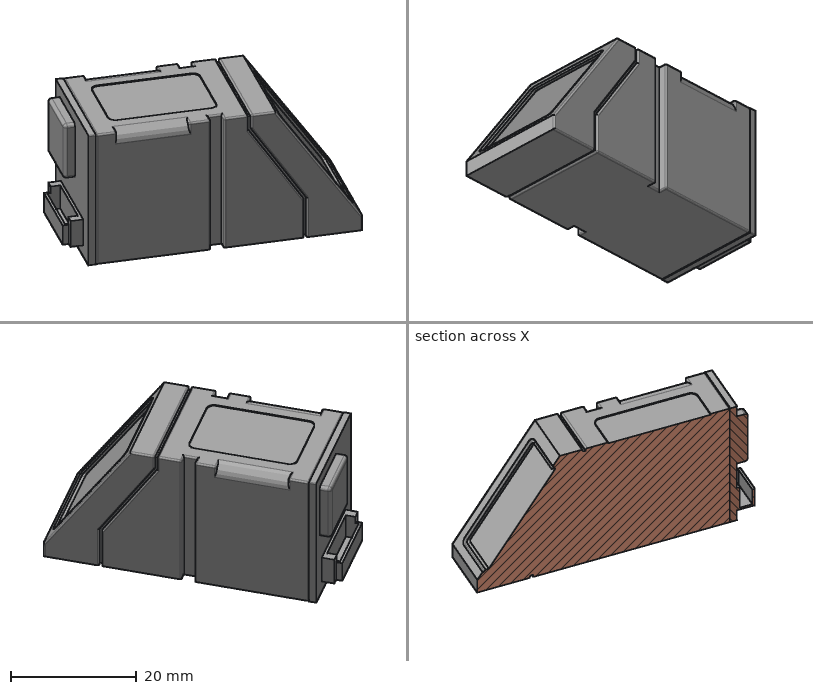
import cadquery as cq
import math

width = 20.0
height = 23.5
length = 44.05
half_width = width / 2
edge_radius = 0.3

tolerance = 0.005

nose_height = 2.7
slope_top_y = 29.7
slope_rise = height - nose_height
slope_run = length - slope_top_y
slope_angle = math.atan2(slope_rise, slope_run)

groove_width = 0.45
groove_depth = 0.45
groove_top_y = 25.2
groove_bottom_y = 34.4
groove_low_bend_z = 7.05
groove_high_bend_z = 20.85
groove_angle = math.atan2(groove_high_bend_z - groove_low_bend_z, groove_bottom_y - groove_top_y)
bend_shift = groove_width * math.tan((math.pi / 2 - groove_angle) / 2)

window_width = 16.4
window_length = 21.5
window_offset = 0.3
window_depth = 0.25
window_corner_radius = 0.95
window_floor_radius = 0.2
ledge_width = 0.6
sensor_corner_radius = 0.5
sensor_depth = 0.6

slot_start_y = 18.95
slot_end_y = 21.15
slot_depth = 1.45
grip_start_y = 3.5
grip_end_y = 15.38
grip_radius = 2.1
label_width = 12.25
label_start_y = 3.45
label_end_y = 21.25
label_depth = 0.2
label_corner_radius = 1.2

board_thickness = 1.2
board_edge_radius = 0.15
button_size = 9.8
button_height = 1.9
button_left_gap = 2.05
button_top_gap = 2.05
button_radius = 0.6
connector_width = 13.6
connector_bottom_z = 2.05
connector_top_z = 6.7
connector_depth = 2.1
lip_width = 11.5
lip_top_z = 5.5
lip_front = 3.1
cavity_width = 10.7
connector_wall = 0.5


def box(x0, x1, y0, y1, z0, z1):
    """Box between two opposite corners."""
    return cq.Workplane("XY").box(x1 - x0, y1 - y0, z1 - z0, centered=False).translate((x0, y0, z0))


def side_prism(points, prism_width):
    """Prism with a (Y, Z) outline, centred on X = 0."""
    return cq.Workplane("YZ").polyline(points).close().extrude(prism_width / 2, both=True)


def round_edges(body, keep_sharp):
    """Round every edge for which keep_sharp(edge) is false."""
    edges = [edge for edge in body.edges().vals() if not keep_sharp(edge)]
    return body.newObject(edges).fillet(edge_radius)


def runs_along(edge, axis):
    """True for an edge parallel to axis 0, 1 or 2 (X, Y or Z)."""
    direction = edge.tangentAt(0).toTuple()
    return abs(direction[axis]) > 0.5 - tolerance


def is_at_bend(edge):
    """Edges across the housing that lie between its top and bottom faces."""
    return runs_along(edge, 0) and tolerance < edge.Center().z < height - tolerance


def make_nose():
    """Part of the housing in front of the groove, below the slope; its corners across X stay sharp."""
    rim_bottom_y = groove_bottom_y + groove_width
    rim_top_y = groove_top_y + groove_width
    outline = [
        (rim_bottom_y, 0),
        (length, 0),
        (length, nose_height),
        (slope_top_y, height),
        (rim_top_y, height),
        (rim_top_y, groove_high_bend_z + bend_shift),
        (rim_bottom_y, groove_low_bend_z + bend_shift),
    ]

    def keep_sharp(edge):
        y = edge.Center().y
        on_groove_rim = min(abs(y - rim_bottom_y), abs(y - rim_top_y)) < tolerance
        return is_at_bend(edge) or (runs_along(edge, 0) and not on_groove_rim)

    return round_edges(side_prism(outline, width), keep_sharp)


def make_end_block():
    """Part of the housing between the end board and the grips."""
    return box(-half_width, half_width, 0, grip_start_y, 0, height).edges().fillet(edge_radius)


def make_grip_block():
    """Middle of the housing, its upper corners rounded for gripping and its ends let into the neighbours."""
    overlap = 2 * edge_radius
    block = box(-half_width, half_width, grip_start_y - overlap, grip_end_y + overlap, 0, height)
    return block.edges("|Y and >Z").fillet(grip_radius).edges("|Y and <Z").fillet(edge_radius)


def make_slotted_block():
    """Part of the housing between the grips and the groove, with a vertical slot in each side."""
    outline = [
        (grip_end_y, 0),
        (groove_bottom_y, 0),
        (groove_bottom_y, groove_low_bend_z),
        (groove_top_y, groove_high_bend_z),
        (groove_top_y, height),
        (grip_end_y, height),
    ]
    slot_floor_x = half_width - slot_depth
    slot = box(slot_floor_x, half_width, slot_start_y, slot_end_y, 0, height)
    block = side_prism(outline, width).cut(slot).cut(slot.mirror("YZ"))

    def keep_sharp(edge):
        in_slot_corner = runs_along(edge, 2) and abs(abs(edge.Center().x) - slot_floor_x) < tolerance
        return is_at_bend(edge) or in_slot_corner

    return round_edges(block, keep_sharp)


def make_groove_core():
    """Web that joins the nose to the main block and forms the groove floor."""
    overlap = 0.95
    top_z = height - groove_depth
    outline = [
        (groove_bottom_y - overlap, groove_depth),
        (groove_bottom_y + overlap, groove_depth),
        (groove_bottom_y + overlap, groove_low_bend_z),
        (groove_top_y + overlap, groove_high_bend_z),
        (groove_top_y + overlap, top_z),
        (groove_top_y - overlap, top_z),
        (groove_top_y - overlap, groove_high_bend_z),
        (groove_bottom_y - overlap, groove_low_bend_z),
    ]
    return side_prism(outline, width - 2 * groove_depth)


def make_label_cutter():
    """Shallow rounded recess in the top face."""
    label_length = label_end_y - label_start_y
    return (
        cq.Workplane("XY", origin=(0, (label_start_y + label_end_y) / 2, height - label_depth))
        .rect(label_width, label_length)
        .extrude(label_depth)
        .edges("|Z")
        .fillet(label_corner_radius)
    )


def make_window_cutter():
    """Shallow recess square to the slope, with a deeper sensor pocket that runs straight back along Y."""
    down_slope = cq.Vector(0, math.cos(slope_angle), -math.sin(slope_angle))
    normal = cq.Vector(0, math.sin(slope_angle), math.cos(slope_angle))
    slope_middle = cq.Vector(0, (length + slope_top_y) / 2, (height + nose_height) / 2)
    ledge_center = slope_middle + down_slope * window_offset - normal * window_depth
    ledge_plane = cq.Plane(origin=ledge_center.toTuple(), xDir=(1, 0, 0), normal=normal.toTuple())

    recess = (
        cq.Workplane(ledge_plane)
        .rect(window_width, window_length)
        .extrude(window_depth)
        .edges(cq.selectors.ParallelDirSelector(normal))
        .fillet(window_corner_radius)
        .faces(cq.selectors.DirectionMinMaxSelector(normal, directionMax=False))
        .edges()
        .fillet(window_floor_radius)
    )
    sensor_outline = (
        cq.Sketch()
        .rect(window_width - 2 * ledge_width, window_length - 2 * ledge_width)
        .vertices()
        .fillet(sensor_corner_radius)
        .reset()
    )
    sensor_face = sensor_outline.val().Faces()[0].moved(ledge_plane.location)
    pocket = cq.Solid.extrudeLinear(sensor_face, cq.Vector(0, -sensor_depth, 0))
    return recess.union(cq.Workplane(pocket))


def make_housing():
    """Housing assembled from its segments, then recessed for the label and the sensor window."""
    housing = make_grip_block().union(make_end_block()).union(make_slotted_block())
    housing = housing.union(make_groove_core()).union(make_nose())
    return housing.cut(make_label_cutter()).cut(make_window_cutter())


def make_button():
    """Square button on the -Y side of Y = 0, rounded on its outer edges."""
    left_x = button_left_gap - half_width
    top_z = height - button_top_gap
    button = box(left_x, left_x + button_size, -button_height, 0, top_z - button_size, top_z)
    return button.edges("|Y or <Y").fillet(button_radius)


def make_connector():
    """Shroud with an open top and a low front lip."""
    block = box(-connector_width / 2, connector_width / 2, -connector_depth, 0, connector_bottom_z, connector_top_z)
    lip = box(-lip_width / 2, lip_width / 2, -lip_front, 0, connector_bottom_z, lip_top_z)
    cavity_floor_z = connector_bottom_z + connector_wall
    half_cavity = cavity_width / 2
    cavity = box(
        -half_cavity, half_cavity, connector_wall - lip_front, -connector_wall, cavity_floor_z, connector_top_z
    )
    return block.union(lip).cut(cavity)


def make_board():
    """End board in one piece with the button and the connector."""
    plate = box(-half_width, half_width, -board_thickness, 0, 0, height).edges("|Y").fillet(board_edge_radius)
    parts = make_button().union(make_connector()).translate((0, -board_thickness, 0))
    return plate.union(parts)


housing = make_housing()
board = make_board()
result = cq.Compound.makeCompound([housing.val(), board.val()])